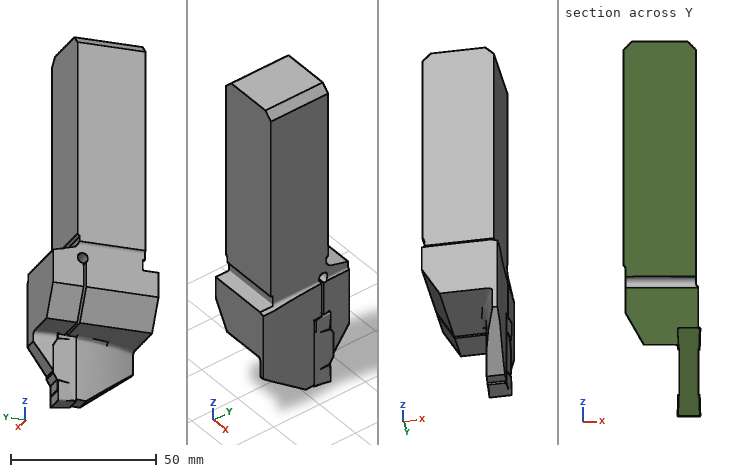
import cadquery as cq
import math


overall_height = 128.73
shank_size = 25.0
shank_chamfer = 3.0
back_undercut = 0.9
back_undercut_z = 54.6
side_undercut = 0.7
side_undercut_z = 51.9
side_undercut_runout = 1.2
front_step = 0.8
front_step_z = 48.8
front_step_fillet = 0.4

head_front_y = -5.0
head_depth = 38.7
head_back_y = head_front_y + head_depth
head_back_z = 47.7
shoulder_angle = math.radians(15)
shoulder_fillet = 3.3
side_lug_fillet = 1.1
front_lug_z = 44.75
head_bottom_z = 24.65
corner_cut_x = 7.0
corner_cut_z = 35.6

blade_end_z = 1.55
blade_end_y = 14.4
blade_front_z = 16.5
blade_back_z = 21.05
jaw_angle = math.radians(55)
outer_side_x = 19.05
outer_side_radius = 64.0
outer_side_mid_y = 23.0
width_total = 27.2
inner_side_x = 25.65
inner_side_radius = 300.0
inner_side_mid_y = 30.0
blade_root_fillet = 1.5

slot_y = 22.0
slot_width = 1.0
slot_hole_y = 22.8
slot_hole_z = 46.15
slot_hole_diameter = 3.7

insert_seat_y = 18.3
insert_edge_y = 25.0
insert_length = 30.6
insert_mid_z = insert_length / 2
insert_center_x = 22.5
insert_body_width = 6.7
insert_tip_width = 8.0
tip_neck_width = 7.5
tip_length = 7.6
tip_corner_radius = 0.6
tip_taper = 6.0
end_relief = 0.9
rake_step = 0.25
rake_z = 3.9
ridge_y = 26.65
ridge_half_length = 5.2
ridge_foot_half_length = 7.5

margin = 1.0


def extrude_along_x(outline, x_start, x_end):
    """Prism along X from an outline given in (Y, Z)."""
    return outline.extrude(x_end - x_start).translate((x_start, 0, 0))


def insert_outline():
    """Side outline of the insert in YZ, symmetric about its middle."""
    lower_half = [
        (insert_seat_y, end_relief),
        (insert_edge_y, 0),
        (insert_edge_y, rake_z),
        (insert_edge_y + rake_step, rake_z),
        (insert_edge_y + rake_step, insert_mid_z - ridge_foot_half_length),
        (ridge_y, insert_mid_z - ridge_half_length),
    ]
    upper_half = [(y, insert_length - z) for y, z in reversed(lower_half)]
    return cq.Workplane("YZ").polyline(lower_half + upper_half).close()


def insert_tip():
    """Lower cutting tip: widest at the cutting edge, tapering towards the seat and the neck."""
    tip = (
        cq.Workplane("XZ", origin=(insert_center_x, insert_edge_y, 0))
        .polyline([
            (-insert_tip_width / 2, 0),
            (insert_tip_width / 2, 0),
            (tip_neck_width / 2, tip_length),
            (-tip_neck_width / 2, tip_length),
        ])
        .close()
        .extrude(insert_edge_y - insert_seat_y, taper=tip_taper)
    )
    return tip.faces("<Z").edges("not |X").fillet(tip_corner_radius)


def make_insert():
    body_left = insert_center_x - insert_body_width / 2
    body = extrude_along_x(insert_outline(), body_left, body_left + insert_body_width)
    lower_tip = insert_tip()
    upper_tip = lower_tip.mirror("XY", (0, 0, insert_mid_z))
    return body.union(lower_tip).union(upper_tip)


def shoulder_fillet_arc(wall, corner_z, radius):
    """Start, middle and end of the fillet from a vertical wall to a shoulder sloping down and outward."""
    half_turn = (math.pi / 2 - shoulder_angle) / 2
    setback = radius * math.tan(half_turn)
    center = (wall + radius, corner_z + setback)
    start = (wall, center[1])
    middle = (center[0] - radius * math.cos(half_turn), center[1] - radius * math.sin(half_turn))
    end = (wall + setback * math.cos(shoulder_angle), corner_z - setback * math.sin(shoulder_angle))
    return start, middle, end


def holder_blank():
    """Side outline of shank, head and blade in YZ, extruded over the full width."""
    undercut_y = shank_size - back_undercut
    shoulder_z = head_back_z + (head_back_y - undercut_y) * math.tan(shoulder_angle)
    fillet_start, fillet_middle, fillet_end = shoulder_fillet_arc(undercut_y, shoulder_z, shoulder_fillet)
    jaw_tip_y = insert_edge_y + rake_step
    jaw_tip_z = blade_back_z - (head_back_y - jaw_tip_y) * math.tan(jaw_angle)
    outline = (
        cq.Workplane("YZ")
        .moveTo(0, overall_height)
        .lineTo(shank_size, overall_height)
        .lineTo(shank_size, back_undercut_z)
        .lineTo(undercut_y, back_undercut_z - back_undercut)
        .lineTo(*fillet_start)
        .threePointArc(fillet_middle, fillet_end)
        .lineTo(head_back_y, head_back_z)
        .lineTo(head_back_y, blade_back_z)
        .lineTo(jaw_tip_y, jaw_tip_z)
        .lineTo(insert_seat_y, blade_end_z)
        .lineTo(blade_end_y, blade_end_z)
        .lineTo(head_front_y, blade_front_z)
        .lineTo(head_front_y, front_lug_z)
        .lineTo(front_step, front_lug_z)
        .lineTo(front_step, front_step_z)
        .lineTo(0, front_step_z)
        .close()
    )
    blank = extrude_along_x(outline, 0, width_total)
    notch_corners = cq.selectors.BoxSelector(
        (-margin, front_step - margin / 2, front_lug_z - margin / 2),
        (width_total + margin, front_step + margin / 2, front_step_z + margin / 2),
    )
    return blank.edges("|X").edges(notch_corners).fillet(front_step_fillet)


def width_envelope():
    """Outline of shank and head in XZ; the head reaches past the shank on the +X side."""
    lug_drop = (width_total - shank_size) * math.tan(shoulder_angle)
    fillet_start, fillet_middle, fillet_end = shoulder_fillet_arc(shank_size, front_lug_z, side_lug_fillet)
    return (
        cq.Workplane("XZ", origin=(0, head_back_y, 0))
        .moveTo(shank_chamfer, overall_height)
        .lineTo(shank_size - shank_chamfer, overall_height)
        .lineTo(shank_size, overall_height - shank_chamfer)
        .lineTo(*fillet_start)
        .threePointArc(fillet_middle, fillet_end)
        .lineTo(width_total, front_lug_z - lug_drop)
        .lineTo(width_total, 0)
        .lineTo(corner_cut_x, 0)
        .lineTo(corner_cut_x, head_bottom_z)
        .lineTo(side_undercut, corner_cut_z)
        .lineTo(side_undercut, side_undercut_z - side_undercut_runout)
        .tangentArcPoint((0, side_undercut_z), relative=False)
        .lineTo(0, overall_height - shank_chamfer)
        .close()
        .extrude(head_depth)
    )


def outer_side_cutter():
    """Clears the space below the head, up to the convex side of the blade."""
    y_front = head_front_y - margin
    y_back = head_back_y + margin

    def side_x(y):
        return outer_side_x + outer_side_radius - math.sqrt(outer_side_radius**2 - (y - outer_side_mid_y)**2)

    cutter = (
        cq.Workplane("XY")
        .moveTo(-margin, y_front)
        .lineTo(side_x(y_front), y_front)
        .threePointArc((outer_side_x, outer_side_mid_y), (side_x(y_back), y_back))
        .lineTo(-margin, y_back)
        .close()
        .extrude(head_bottom_z)
    )
    return cutter.faces(">Z").edges("%CIRCLE").fillet(blade_root_fillet)


def inner_side_cutter():
    """Large cylinder that hollows the +X side of head and blade."""
    return (
        cq.Workplane("XY")
        .center(inner_side_x + inner_side_radius, inner_side_mid_y)
        .circle(inner_side_radius)
        .extrude(front_lug_z + side_lug_fillet)
    )


def clamping_slot():
    slot = (
        cq.Workplane("XY")
        .box(width_total, slot_width, slot_hole_z - insert_mid_z, centered=(False, True, False))
        .translate((0, slot_y, insert_mid_z))
    )
    hole = (
        cq.Workplane("YZ")
        .center(slot_hole_y, slot_hole_z)
        .circle(slot_hole_diameter / 2)
        .extrude(width_total)
    )
    return slot.union(hole)


def blade_pocket():
    """Opening for the insert across the whole blade, below the head."""
    below_head = cq.Workplane("XY").box(
        width_total, head_back_y, head_bottom_z, centered=False
    )
    return extrude_along_x(insert_outline(), 0, width_total).intersect(below_head)


def make_holder(insert):
    holder = holder_blank().intersect(width_envelope())
    holder = holder.cut(outer_side_cutter()).cut(inner_side_cutter())
    return holder.cut(clamping_slot()).cut(blade_pocket()).cut(insert)


insert = make_insert()
holder = make_holder(insert)

result = cq.Compound.makeCompound([holder.solids().val(), insert.solids().val()])